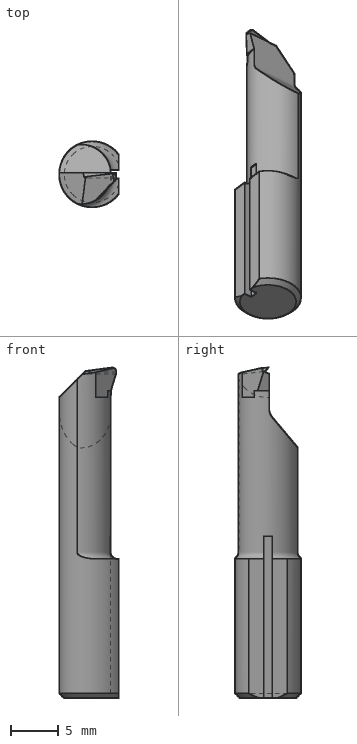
import cadquery as cq
import math

total_height = 35
shank_radius = 3.5
flat_x = 2.85
end_chamfer = 0.52

neck_radius = 3.15
neck_axis_x = -1.15
shoulder_z = 14.75
shoulder_fillet = 0.7

groove_width = 0.88
groove_floor_x = 1.92
groove_top_z = 17.1

rake_y = 0.15
runout_corner_z = 30.1
runout_angle = 50
runout_radius = 1.4

head_seat_z = 31.8
head_step_z = 32.5
head_root_x = 2.0
tip_x = 2.75
nose_radius = 0.5
facet_start = (0.4, -2.73)
facet_end = (tip_x, -0.3)

top_tip_x = 2.17
top_tip_y = 0.07
top_rise_x = 0.12
top_rise_y = 0.11
bevel_bottom_z = 31.8

chip_apex = (-0.35, 34.5)
chip_floor_z = 34.35

reach = 10.5


def make_shank():
    shank = cq.Workplane("XY").circle(shank_radius).extrude(total_height + shank_radius)
    shank = shank.faces("<Z").chamfer(end_chamfer)
    keep = cq.Workplane("XY").box(reach, reach, 2 * total_height + reach)
    return shank.intersect(keep.translate((flat_x - reach / 2, 0, total_height / 2)))


def make_neck_cutter():
    """Ring around the neck, with the concave shoulder fillet on its inside."""
    fillet_center_x = neck_radius + shoulder_fillet
    fillet_center_z = shoulder_z + shoulder_fillet
    offset = shoulder_fillet * math.sqrt(0.5)
    ring = (
        cq.Workplane("XZ")
        .moveTo(neck_radius, total_height + reach)
        .lineTo(neck_radius, fillet_center_z)
        .threePointArc(
            (fillet_center_x - offset, fillet_center_z - offset),
            (fillet_center_x, shoulder_z),
        )
        .lineTo(reach, shoulder_z)
        .lineTo(reach, total_height + reach)
        .close()
        .revolve(360, (0, 0, 0), (0, 1, 0))
    )
    return ring.translate((neck_axis_x, 0, 0))


def make_coolant_groove():
    return (
        cq.Workplane("XY")
        .center(groove_floor_x + reach / 2, 0)
        .rect(reach, groove_width)
        .extrude(groove_top_z)
    )


def top_z(x, y):
    """Height of the top clearance plane."""
    return total_height + top_rise_x * (x - top_tip_x) + top_rise_y * (y - top_tip_y)


def make_head():
    """Tip block: side outline in XZ, trimmed to the plan outline in XY."""
    side = (
        cq.Workplane("XZ")
        .polyline([
            (facet_start[0], head_step_z),
            (head_root_x, head_step_z),
            (tip_x, top_z(tip_x, rake_y)),
            (facet_start[0], top_z(facet_start[0], rake_y)),
        ])
        .close()
        .extrude(reach, both=True)
    )
    tip_corner = cq.selectors.NearestToPointSelector((tip_x, 0, top_z(tip_x, rake_y)))
    side = side.edges("|Y").edges(tip_corner).fillet(nose_radius)
    plan = (
        cq.Workplane("XY")
        .polyline([facet_start, facet_end, (tip_x, rake_y), (facet_start[0], rake_y)])
        .close()
        .extrude(total_height + reach)
    )
    return side.intersect(plan)


def make_facet_cutter():
    outside = (reach, -reach)
    return (
        cq.Workplane("XY", origin=(0, 0, head_seat_z))
        .polyline([facet_start, facet_end, outside])
        .close()
        .extrude(reach)
    )


def make_rake_cutter():
    runout_rise = reach * math.tan(math.radians(runout_angle))
    cutter = (
        cq.Workplane("YZ")
        .polyline([
            (rake_y, runout_corner_z),
            (rake_y, total_height + reach),
            (rake_y + reach, total_height + reach),
            (rake_y + reach, runout_corner_z - runout_rise),
        ])
        .close()
        .extrude(reach, both=True)
    )
    corner = cq.selectors.NearestToPointSelector((0, rake_y, runout_corner_z))
    return cutter.edges(corner).fillet(runout_radius)


def make_top_cutter():
    normal = (-top_rise_x, -top_rise_y, 1)
    highest_point = (top_tip_x, top_tip_y, total_height)
    plane = cq.Plane(origin=highest_point, xDir=(1, 0, top_rise_x), normal=normal)
    return cq.Workplane(plane).rect(2 * reach, 2 * reach).extrude(reach)


def make_bevel_cutter():
    return (
        cq.Workplane("XZ")
        .polyline([
            (-shank_radius, bevel_bottom_z),
            (-shank_radius + reach, bevel_bottom_z + reach),
            (-shank_radius, bevel_bottom_z + reach),
        ])
        .close()
        .extrude(reach, both=True)
    )


def make_chip_groove():
    return (
        cq.Workplane("YZ")
        .polyline([
            chip_apex,
            (top_tip_y, total_height),
            (rake_y, total_height),
            (rake_y, chip_floor_z),
        ])
        .close()
        .extrude(reach, both=True)
    )


result = (
    make_shank()
    .cut(make_neck_cutter())
    .cut(make_coolant_groove())
    .cut(make_facet_cutter())
    .union(make_head())
    .cut(make_rake_cutter())
    .cut(make_top_cutter())
    .cut(make_bevel_cutter())
    .cut(make_chip_groove())
)